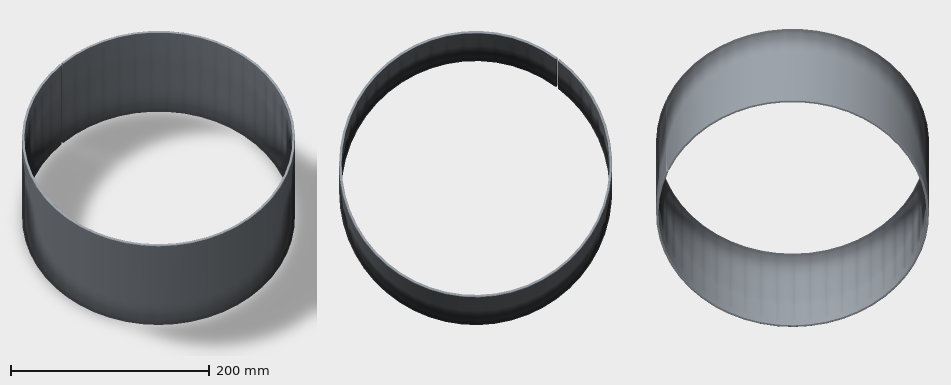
import cadquery as cq

OUTER_DIAMETER = 275.0
WALL_THICKNESS = 2.5
HEIGHT = 130.0
OUTER_CHAMFER = 0.5
INNER_CHAMFER = 0.2
SLIT_ANGLE = 1.0
FULL_TURN = 360.0

outer_radius = OUTER_DIAMETER / 2
inner_radius = outer_radius - WALL_THICKNESS


def wall_section():
    """Wall cross-section on the -X side of the XZ plane, chamfered at both rims."""
    outer_x = -outer_radius
    inner_x = -inner_radius
    return cq.Workplane("XZ").polyline([
        (outer_x + OUTER_CHAMFER, 0),
        (inner_x - INNER_CHAMFER, 0),
        (inner_x, INNER_CHAMFER),
        (inner_x, HEIGHT - INNER_CHAMFER),
        (inner_x - INNER_CHAMFER, HEIGHT),
        (outer_x + OUTER_CHAMFER, HEIGHT),
        (outer_x, HEIGHT - OUTER_CHAMFER),
        (outer_x, OUTER_CHAMFER),
    ]).close()


def make_split_ring():
    """Sweep the wall around Z from -X through -Y, leaving the slit just on the +Y side of -X."""
    return wall_section().revolve(FULL_TURN - SLIT_ANGLE, (0, 0), (0, 1))


result = make_split_ring()